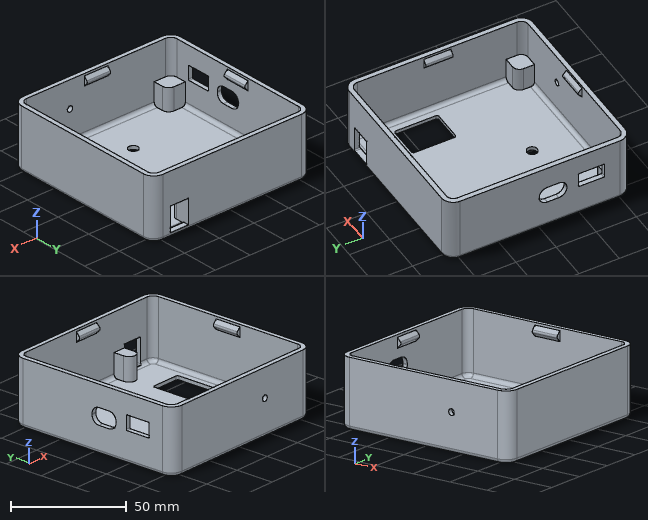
import cadquery as cq

LENGTH_X = 92.0
LENGTH_Y = 91.5
HEIGHT = 33.1
CORNER_RADIUS = 6.0
BOTTOM_FILLET = 2.0

WALL = 2.5
FLOOR = 2.0
CAVITY_X = LENGTH_X - 2 * WALL
CAVITY_Y = LENGTH_Y - 2 * WALL
CAVITY_CORNER_RADIUS = CORNER_RADIUS - WALL
CAVITY_FILLET = 2.0

POST_TOP = 14.0
BACK_POST_X = 21.7
BACK_POST_WIDTH = 7.0
BACK_POST_LENGTH = 9.0
LEFT_POST_WIDTH = 10.0
RIGHT_POST_WIDTH = 9.0
CORNER_POST_LENGTH = 9.0
CORNER_POST_RADIUS = 3.5

RIDGE_LENGTH = 13.5
RIDGE_DEPTH = 2.25
RIDGE_HEIGHT = 5.0
RIDGE_Z = 29.4
RIDGE_TIP_RADIUS = 1.0

WINDOW_X = 30.3
WINDOW_Y = 13.6
WINDOW_WIDTH = 16.2
WINDOW_LENGTH = 21.8
WINDOW_RADIUS = 1.0
FLOOR_HOLE_X = -2.0
FLOOR_HOLE_Y = -21.2
FLOOR_HOLE_DIAMETER = 5.0

FRONT_HOLE_X = 15.0
FRONT_HOLE_Z = 18.5
FRONT_HOLE_DIAMETER = 3.0
SLOT_Y = -6.5
SLOT_Z = 17.9
SLOT_WIDTH = 13.7
SLOT_HEIGHT = 8.4
SLOT_RADIUS = 4.0
PORT_Y = -25.7
PORT_Z = 19.4
PORT_WIDTH = 13.0
PORT_HEIGHT = 7.4
PORT_RADIUS = 0.5
BACK_OPENING_LEFT = BACK_POST_X + BACK_POST_WIDTH / 2
BACK_OPENING_WIDTH = 10.5
BACK_OPENING_SILL = 0.5
BACK_OPENING_BOTTOM = FLOOR + BACK_OPENING_SILL
BACK_OPENING_HEIGHT = 13.2
BACK_OPENING_RADIUS = 0.5

WALL_CUT = 6.0
FLOOR_CUT = 6.0


def cavity_space():
    """Solid that fills the cavity, rounded at its vertical and bottom edges."""
    space = cq.Workplane("XY").box(CAVITY_X, CAVITY_Y, HEIGHT, centered=(True, True, False))
    space = space.edges("|Z").fillet(CAVITY_CORNER_RADIUS).faces("<Z").edges().fillet(CAVITY_FILLET)
    return space.translate((0, 0, FLOOR))


def outer_body():
    """Solid outer shape, rounded at its vertical and bottom edges."""
    body = cq.Workplane("XY").box(LENGTH_X, LENGTH_Y, HEIGHT, centered=(True, True, False))
    return body.edges("|Z").fillet(CORNER_RADIUS).faces("<Z").edges().fillet(BOTTOM_FILLET)


def block(x_min, x_max, y_min, y_max, z_min, z_max):
    """Box given by its limits along the three axes."""
    box = cq.Workplane("XY").box(x_max - x_min, y_max - y_min, z_max - z_min, centered=False)
    return box.translate((x_min, y_min, z_min))


def back_post():
    """Post against the +Y wall with a half-round free end."""
    radius = BACK_POST_WIDTH / 2
    root_y = CAVITY_Y / 2 + WALL / 2
    round_center_y = CAVITY_Y / 2 - BACK_POST_LENGTH + radius
    post = (
        cq.Workplane("XY")
        .moveTo(BACK_POST_X - radius, root_y)
        .lineTo(BACK_POST_X - radius, round_center_y)
        .threePointArc((BACK_POST_X, round_center_y - radius), (BACK_POST_X + radius, round_center_y))
        .lineTo(BACK_POST_X + radius, root_y)
        .close()
        .extrude(POST_TOP - FLOOR / 2)
    )
    return post.translate((0, 0, FLOOR / 2))


def corner_post(width):
    """Post filling the +X, -Y corner of the cavity, with its free vertical edge rounded."""
    post = block(
        CAVITY_X / 2 - width, LENGTH_X / 2,
        -LENGTH_Y / 2, -CAVITY_Y / 2 + CORNER_POST_LENGTH,
        FLOOR / 2, POST_TOP,
    )
    post = post.edges("|Z and <X and >Y").fillet(CORNER_POST_RADIUS)
    return post.intersect(outer_body())


def ridge(wall_distance):
    """Snap ridge on the inner face at +X, at the given distance from the centre."""
    tip = wall_distance - RIDGE_DEPTH
    root = wall_distance + WALL / 2
    top = RIDGE_Z + RIDGE_HEIGHT / 2
    bottom = RIDGE_Z - RIDGE_HEIGHT / 2
    profile = [
        (root, top),
        (wall_distance, top),
        (tip, RIDGE_Z),
        (wall_distance, bottom),
        (root, bottom),
    ]
    bar = cq.Workplane("XZ").polyline(profile).close().extrude(RIDGE_LENGTH / 2, both=True)
    return bar.edges("|Y and <X").fillet(RIDGE_TIP_RADIUS)


def floor_openings():
    """Rounded rectangular window and round hole through the floor."""
    window = (
        cq.Workplane("XY")
        .box(WINDOW_WIDTH, WINDOW_LENGTH, FLOOR_CUT)
        .edges("|Z")
        .fillet(WINDOW_RADIUS)
        .translate((WINDOW_X, WINDOW_Y, 0))
    )
    hole = (
        cq.Workplane("XY")
        .circle(FLOOR_HOLE_DIAMETER / 2)
        .extrude(FLOOR_CUT / 2, both=True)
        .translate((FLOOR_HOLE_X, FLOOR_HOLE_Y, 0))
    )
    return window.union(hole)


def front_hole():
    """Round hole through the -Y wall."""
    hole = cq.Workplane("XZ").center(FRONT_HOLE_X, FRONT_HOLE_Z).circle(FRONT_HOLE_DIAMETER / 2)
    return hole.extrude(WALL_CUT / 2, both=True).translate((0, -LENGTH_Y / 2, 0))


def side_openings():
    """Rounded slot and rectangular port through the -X wall."""
    slot = cq.Workplane("XY").box(WALL_CUT, SLOT_WIDTH, SLOT_HEIGHT).edges("|X").fillet(SLOT_RADIUS)
    port = cq.Workplane("XY").box(WALL_CUT, PORT_WIDTH, PORT_HEIGHT).edges("|X").fillet(PORT_RADIUS)
    slot = slot.translate((-LENGTH_X / 2, SLOT_Y, SLOT_Z))
    port = port.translate((-LENGTH_X / 2, PORT_Y, PORT_Z))
    return slot.union(port)


def back_opening():
    """Opening through the +Y wall beside the back post, rounded at its two corners away from the post."""
    opening = block(
        BACK_OPENING_LEFT, BACK_OPENING_LEFT + BACK_OPENING_WIDTH,
        LENGTH_Y / 2 - WALL_CUT / 2, LENGTH_Y / 2 + WALL_CUT / 2,
        BACK_OPENING_BOTTOM, BACK_OPENING_BOTTOM + BACK_OPENING_HEIGHT,
    )
    return opening.edges("|Y and >X").fillet(BACK_OPENING_RADIUS)


result = outer_body().cut(cavity_space())
result = result.union(back_post())
result = result.union(corner_post(RIGHT_POST_WIDTH))
result = result.union(corner_post(LEFT_POST_WIDTH).mirror("YZ"))
for angle, span in ((0, CAVITY_X), (90, CAVITY_Y), (180, CAVITY_X), (270, CAVITY_Y)):
    result = result.union(ridge(span / 2).rotate((0, 0, 0), (0, 0, 1), angle))
result = result.cut(floor_openings()).cut(front_hole()).cut(side_openings()).cut(back_opening())